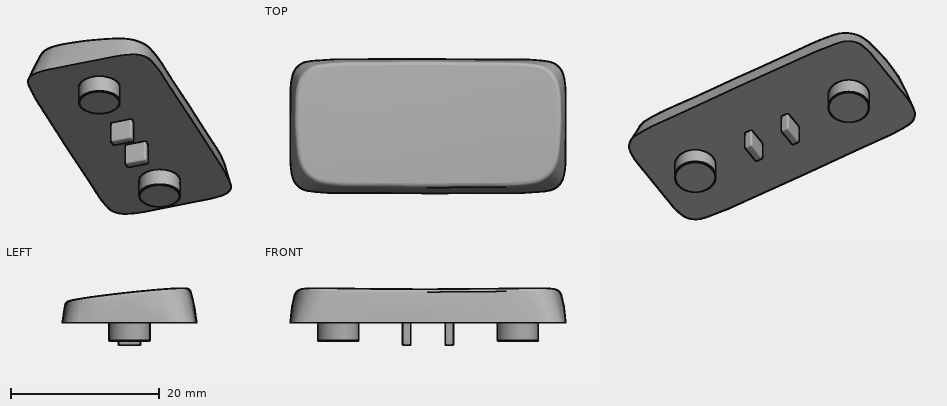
import cadquery as cq
import math

length = 37.02
width = 18.0
side_bow = 0.3
corner_angles = (10, 30, 50, 70, 85)
wall_levels = (
    (0.0, 0.0, 2.6),
    (2.6, 0.4, 3.7),
    (5.2, 1.1, 4.07),
)

top_height = 3.85
top_tilt = 6.2
crown_radius = 185.1
dish_depth = 0.2
dish_span = 29.6
top_edge_radius = 0.55

boss_diameter = 5.5
boss_height = 2.45
boss_spacing = 24.0
boss_edge = 0.1

prong_thickness = 1.15
prong_width = 3.0
prong_height = 3.0
prong_spacing = 5.7
prong_edge = 0.22


def wall_section(height, inset, corner_radius):
    """Smooth rounded rectangle whose four sides bulge outwards, split at x = 0."""
    mid_x = length / 2 - inset
    mid_y = width / 2 - inset
    center_x = mid_x - side_bow - corner_radius
    center_y = mid_y - side_bow - corner_radius
    corner = [
        (
            center_x + corner_radius * math.cos(math.radians(angle)),
            center_y + corner_radius * math.sin(math.radians(angle)),
        )
        for angle in corner_angles
    ]
    end_point = (mid_x - side_bow / 4, center_y / 2)
    side_point = (center_x / 2, mid_y - side_bow / 4)
    back_quarter = [(mid_x, 0), end_point] + corner + [side_point, (0, mid_y)]
    front_quarter = [(x, -y) for x, y in reversed(back_quarter[1:])]
    right_half = front_quarter + back_quarter
    left_half = [(-x, y) for x, y in reversed(right_half)]
    right_edge, left_edge = [
        cq.Edge.makeSpline(
            [cq.Vector(x, y, height) for x, y in half],
            tangents=[cq.Vector(direction, 0, 0), cq.Vector(-direction, 0, 0)],
        )
        for half, direction in ((right_half, 1), (left_half, -1))
    ]
    return cq.Wire.assembleEdges([right_edge, left_edge])


def space_above_top():
    """Ring that fills everything above the saddle-shaped, tilted top face."""
    dish_radius = ((dish_span / 2) ** 2 + dish_depth**2) / (2 * dish_depth)
    reach = length
    rise = dish_radius - math.sqrt(dish_radius**2 - reach**2)
    return (
        cq.Workplane("XZ")
        .moveTo(-reach, rise)
        .threePointArc((0, 0), (reach, rise))
        .lineTo(reach, length)
        .lineTo(-reach, length)
        .close()
        .revolve(360, (0, -crown_radius), (1, -crown_radius))
        .rotate((0, 0, -crown_radius), (1, 0, -crown_radius), 180)
        .rotate((0, 0, 0), (1, 0, 0), -top_tilt)
        .translate((0, 0, top_height))
    )


def cap():
    sections = [wall_section(*level) for level in wall_levels]
    body = cq.Workplane(cq.Solid.makeLoft(sections))
    body = body.cut(space_above_top())
    return body.faces(">Z").edges().fillet(top_edge_radius)


def bosses():
    return (
        cq.Workplane("XY")
        .rarray(boss_spacing, 0.37, 2, 1)
        .circle(boss_diameter / 2)
        .extrude(-boss_height)
        .faces("<Z")
        .edges()
        .chamfer(boss_edge)
    )


def prongs():
    return (
        cq.Workplane("XY")
        .rarray(prong_spacing, 0.37, 2, 1)
        .rect(prong_thickness, prong_width)
        .extrude(-prong_height)
        .edges("|Z or <Z")
        .fillet(prong_edge)
    )


result = cap().union(bosses()).union(prongs())